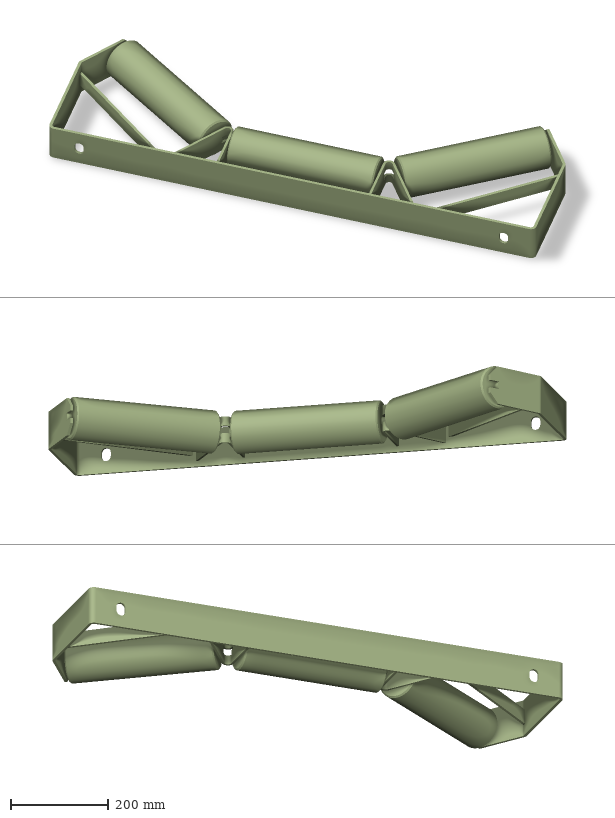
import cadquery as cq
import math

FRAME_LENGTH = 1050.0
STRIP_WIDTH = 80.0
STRIP_THICKNESS = 6.0
STRIP_BEND_RADIUS = 2 * STRIP_THICKNESS
SIDE_HEIGHT = 213.0
WING_LENGTH = 134.0
WING_CORNER_CHAMFER = 21.0
TROUGH_ANGLE = 35.0
MOUNT_HOLE_X = 458.0
MOUNT_HOLE_WIDTH = 20.0
MOUNT_HOLE_HEIGHT = 28.0

BRACKET_LEG_X = 162.0
BRACKET_HEIGHT = 128.0
BRACKET_WIDTH = 56.0
BRACKET_THICKNESS = 5.0
BRACKET_BEND_RADIUS = 13.0
BRACE_WIDTH = 32.0
BRACE_THICKNESS = STRIP_THICKNESS
BRACE_TOP_Y = 203.0
BRACE_FOOT_X = 281.0

ROLLER_DIAMETER = 89.0
ROLLER_LENGTH = 314.0
ROLLER_CHAMFER = 3.0
AXLE_DIAMETER = 20.0
AXLE_FLAT_WIDTH = 16.0
CENTER_ROLLER_Y = 99.0
AXLE_ON_WING = 105.0
SLOT_LENGTH = 52.0

HALF_LENGTH = FRAME_LENGTH / 2
TILT = math.radians(TROUGH_ANGLE)
ALONG = cq.Vector(math.cos(TILT), math.sin(TILT))
ACROSS = cq.Vector(-math.sin(TILT), math.cos(TILT))
BASE_TOP = STRIP_THICKNESS

SIDE_BEND = cq.Vector(HALF_LENGTH, SIDE_HEIGHT)
SIDE_BEND_INNER = SIDE_BEND - cq.Vector(STRIP_THICKNESS, STRIP_THICKNESS * math.tan(TILT / 2))
WING_TIP = SIDE_BEND + ACROSS * WING_LENGTH
WING_TIP_INNER = WING_TIP - ALONG * STRIP_THICKNESS

FOLD_CENTER = cq.Vector(BRACKET_LEG_X + BRACKET_BEND_RADIUS, BRACKET_HEIGHT - BRACKET_BEND_RADIUS)

WING_REACH = SIDE_BEND.dot(ALONG)
BRACKET_REACH = FOLD_CENTER.dot(ALONG) + BRACKET_BEND_RADIUS - BRACKET_THICKNESS
SIDE_AXLE_HALF = (WING_REACH - BRACKET_REACH) / 2
SIDE_ROLLER_CENTER = SIDE_BEND + ACROSS * AXLE_ON_WING - ALONG * SIDE_AXLE_HALF
CENTER_AXLE_HALF = BRACKET_LEG_X + BRACKET_THICKNESS

ROLLER_PLACES = [
    (cq.Vector(-SIDE_ROLLER_CENTER.x, SIDE_ROLLER_CENTER.y), -TROUGH_ANGLE, SIDE_AXLE_HALF),
    (cq.Vector(0, CENTER_ROLLER_Y), 0, CENTER_AXLE_HALF),
    (SIDE_ROLLER_CENTER, TROUGH_ANGLE, SIDE_AXLE_HALF),
]


def mirrored(point):
    return cq.Vector(-point.x, point.y)


def upright_bar(outline, width):
    """Prism on an XY outline, centered on Z = 0."""
    points = [(p.x, p.y) for p in outline]
    return cq.Workplane("XY").polyline(points).close().extrude(width / 2, both=True)


def round_edge(body, point, radius):
    """Round the Z-parallel edge whose middle is at the point."""
    return body.edges(cq.selectors.NearestToPointSelector(point.toTuple())).fillet(radius)


def round_bend(body, outer, inner, outer_radius, thickness):
    body = round_edge(body, outer, outer_radius)
    return round_edge(body, inner, outer_radius - thickness)


def strip():
    foot = cq.Vector(HALF_LENGTH, 0)
    foot_inner = cq.Vector(HALF_LENGTH - STRIP_THICKNESS, BASE_TOP)
    right_half = [foot, SIDE_BEND, WING_TIP, WING_TIP_INNER, SIDE_BEND_INNER, foot_inner]
    left_half = [mirrored(p) for p in reversed(right_half)]
    bar = upright_bar(right_half + left_half, STRIP_WIDTH)
    for outer, inner in ((foot, foot_inner), (SIDE_BEND, SIDE_BEND_INNER)):
        bar = round_bend(bar, outer, inner, STRIP_BEND_RADIUS, STRIP_THICKNESS)
        bar = round_bend(bar, mirrored(outer), mirrored(inner), STRIP_BEND_RADIUS, STRIP_THICKNESS)
    return chamfer_wing_tips(bar)


def chamfer_wing_tips(bar):
    tip = (WING_TIP + WING_TIP_INNER) / 2
    for middle in (tip, mirrored(tip)):
        for z in (-STRIP_WIDTH / 2, STRIP_WIDTH / 2):
            corner = cq.selectors.NearestToPointSelector((middle.x, middle.y, z))
            bar = bar.edges(corner).chamfer(WING_CORNER_CHAMFER)
    return bar


def bracket():
    """Right bracket: an upright leg folded over into a leg square to the right roller."""
    fold_slope = math.tan(TILT / 2)
    apex = cq.Vector(BRACKET_LEG_X, FOLD_CENTER.y + BRACKET_BEND_RADIUS / fold_slope)
    apex_inner = apex + cq.Vector(BRACKET_THICKNESS, -BRACKET_THICKNESS / fold_slope)

    def sloping_foot(top):
        return cq.Vector(top.x + (top.y - BASE_TOP) * math.tan(TILT), BASE_TOP)

    outline = [
        cq.Vector(apex.x, BASE_TOP), apex, sloping_foot(apex),
        sloping_foot(apex_inner), apex_inner, cq.Vector(apex_inner.x, BASE_TOP),
    ]
    bar = upright_bar(outline, BRACKET_WIDTH)
    return round_bend(bar, apex, apex_inner, BRACKET_BEND_RADIUS, BRACKET_THICKNESS)


def brace():
    """Right brace, from the base up to the inner face of the side."""
    foot = cq.Vector(BRACE_FOOT_X, BASE_TOP)
    top = cq.Vector(HALF_LENGTH - STRIP_THICKNESS, BRACE_TOP_Y)
    slope = math.atan2(top.y - foot.y, top.x - foot.x)
    top_upper = top + cq.Vector(0, BRACE_THICKNESS / math.cos(slope))
    foot_upper = foot - cq.Vector(BRACE_THICKNESS / math.sin(slope), 0)
    return upright_bar([foot, top, top_upper, foot_upper], BRACE_WIDTH)


def mount_holes():
    return (
        cq.Workplane("XZ").pushPoints([(-MOUNT_HOLE_X, 0), (MOUNT_HOLE_X, 0)])
        .slot2D(MOUNT_HOLE_HEIGHT, MOUNT_HOLE_WIDTH, 90).extrude(-BASE_TOP)
    )


def bar_along_x(diameter, length):
    return cq.Workplane("YZ").workplane(offset=-length / 2).circle(diameter / 2).extrude(length)


def flatted_axle(half_length):
    flats = cq.Workplane("XY").box(2 * half_length, AXLE_DIAMETER, AXLE_FLAT_WIDTH)
    return bar_along_x(AXLE_DIAMETER, 2 * half_length).intersect(flats)


def roller(axle_half):
    """Roller along X: a chamfered drum on a round axle with flatted ends, one strip thickness long."""
    shoulder_half = axle_half - STRIP_THICKNESS
    drum = bar_along_x(ROLLER_DIAMETER, ROLLER_LENGTH).edges().chamfer(ROLLER_CHAMFER)
    return drum.union(bar_along_x(AXLE_DIAMETER, 2 * shoulder_half)).union(flatted_axle(axle_half))


def axle_slots(axle_half):
    """Cutter for the slots that hold both axle ends, open upward and across the bracket fold."""
    slot_half = axle_half + BRACKET_BEND_RADIUS
    slot = cq.Workplane("XY").box(2 * slot_half, SLOT_LENGTH, AXLE_FLAT_WIDTH)
    return slot.translate((0, SLOT_LENGTH / 2, 0)).union(flatted_axle(axle_half))


def placed(body, center, tilt):
    return body.rotate((0, 0, 0), (0, 0, 1), tilt).translate(center)


def welded_frame():
    frame = strip().cut(mount_holes())
    for part in (bracket(), brace()):
        frame = frame.union(part).union(part.mirror("YZ"))
    for center, tilt, axle_half in ROLLER_PLACES:
        frame = frame.cut(placed(axle_slots(axle_half), center, tilt))
    return frame


frame = welded_frame()
rollers = [
    placed(roller(axle_half), center, tilt)
    for center, tilt, axle_half in ROLLER_PLACES
]
result = cq.Compound.makeCompound([frame.val(), *[body.val() for body in rollers]])